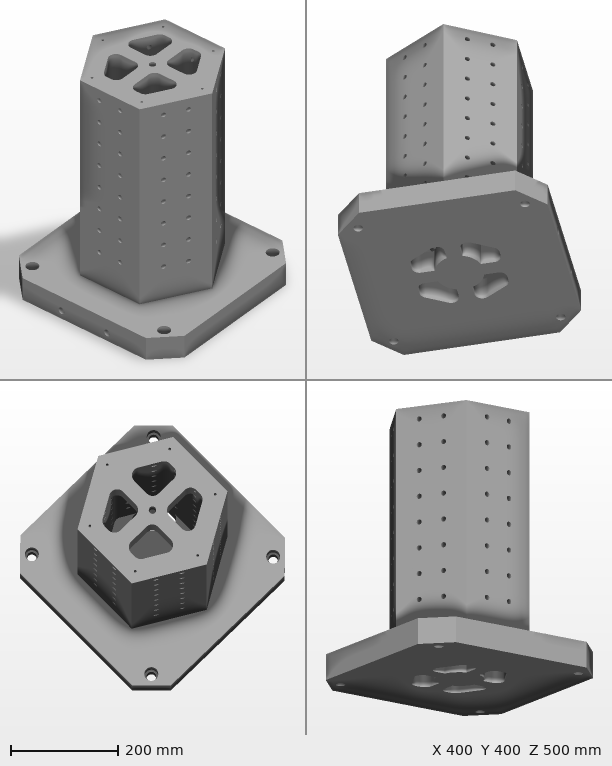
import cadquery as cq
import math

plate_side = 400.0
plate_height = 50.0
plate_chamfer = 51.0

total_height = 500.0
column_flats = 250.0
column_sides = 6
wall = 40.0
cap_thickness = 60.0

web_width = 29.5
window_fillet = 15.0
hub_diameter = 93.0

face_hole_diameter = 10.0
face_hole_depth = 41.0
face_hole_spacing = 50.0
face_hole_rows = 8
row_pitch = 50.0
top_row_drop = 25.0

lift_hole_diameter = 14.0
lift_hole_depth = 30.0
pin_hole_diameter = 5.0
pin_hole_depth = 15.0
pin_circle_radius = 120.5

mount_circle_radius = 225.0
mount_hole_count = 4
mount_start_angle = 45
mount_hole_diameter = 18.0
mount_bore_diameter = 26.0
mount_bore_depth = 25.0

edge_hole_diameter = 14.0
edge_hole_depth = 30.0
edge_hole_spacing = 110.0
edge_hole_height = 18.0

drill_tip_angle = 118.0

cavity_flats = column_flats - 2 * wall
cavity_height = total_height - plate_height - cap_thickness
cap_bottom = total_height - cap_thickness


def hexagon(flats, bottom, height):
    """Hexagonal prism with two corners on the X axis."""
    corner_diameter = flats / math.cos(math.pi / column_sides)
    return cq.Workplane("XY").workplane(offset=bottom).polygon(column_sides, corner_diameter).extrude(height)


def cross_windows(bottom, height):
    """Four rounded openings left in the cavity outline by the two crossing webs."""
    web_x = cq.Workplane("XY").box(plate_side, web_width, total_height, centered=(True, True, False))
    web_y = cq.Workplane("XY").box(web_width, plate_side, total_height, centered=(True, True, False))
    openings = hexagon(cavity_flats, bottom, height).cut(web_x).cut(web_y)
    return openings.edges("|Z").fillet(window_fillet)


def drilled_hole(diameter, depth, start, direction):
    """Blind hole with a conical drill tip beyond its full-diameter depth."""
    radius = diameter / 2
    tip = radius / math.tan(math.radians(drill_tip_angle / 2))
    start_point = cq.Vector(*start)
    axis = cq.Vector(*direction)
    shaft = cq.Solid.makeCylinder(radius, depth, start_point, axis)
    cone = cq.Solid.makeCone(radius, 0, tip, start_point + axis * depth, axis)
    return cq.Workplane(shaft.fuse(cone))


def face_holes():
    """Two columns of holes through the wall of the face on the -Y side."""
    top_row = total_height - top_row_drop
    centres = [
        (side * face_hole_spacing / 2, top_row - row * row_pitch)
        for side in (-1, 1)
        for row in range(face_hole_rows)
    ]
    face = cq.Workplane("XZ", origin=(0, -column_flats / 2, 0))
    return face.pushPoints(centres).circle(face_hole_diameter / 2).extrude(-face_hole_depth)


plate = cq.Workplane("XY").rect(plate_side, plate_side).extrude(plate_height)
plate = plate.edges("|Z").chamfer(plate_chamfer)
result = plate.union(hexagon(column_flats, plate_height, total_height - plate_height))
cavity = hexagon(cavity_flats, plate_height, cavity_height).edges("|Z").fillet(window_fillet)
result = result.cut(cavity)

hub = cq.Workplane("XY").circle(hub_diameter / 2).extrude(plate_height)
result = result.cut(cross_windows(cap_bottom, cap_thickness))
result = result.cut(cross_windows(0, plate_height).cut(hub))

hole_rows = face_holes()
for face_index in range(column_sides):
    result = result.cut(hole_rows.rotate((0, 0, 0), (0, 0, 1), face_index * 360 / column_sides))

result = result.cut(drilled_hole(lift_hole_diameter, lift_hole_depth, (0, 0, total_height), (0, 0, -1)))
pin_holes = (
    cq.Workplane("XY")
    .workplane(offset=total_height)
    .polarArray(pin_circle_radius, 0, 360, column_sides)
    .circle(pin_hole_diameter / 2)
    .extrude(-pin_hole_depth)
)
result = result.cut(pin_holes)

result = (
    result.copyWorkplane(cq.Workplane("XY", origin=(0, 0, plate_height)))
    .polarArray(mount_circle_radius, mount_start_angle, 360, mount_hole_count)
    .cboreHole(mount_hole_diameter, mount_bore_diameter, mount_bore_depth, depth=plate_height)
)

for side in (-1, 1):
    start = (side * edge_hole_spacing / 2, -plate_side / 2, edge_hole_height)
    result = result.cut(drilled_hole(edge_hole_diameter, edge_hole_depth, start, (0, 1, 0)))